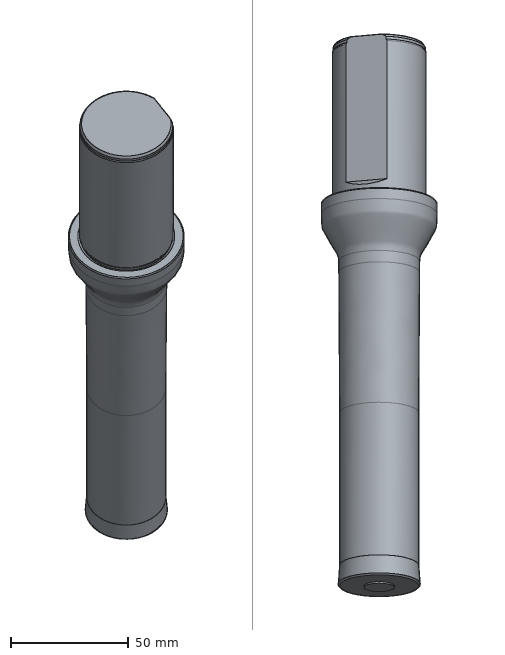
import cadquery as cq
import math

TOTAL_HEIGHT = 240.0
TIP_TOP = 9.5
TAPER_BOTTOM = 77.3
NECK_BOTTOM = 139.5
NECK_TOP = 144.5
BULB_TOP = 165.4
COLLAR_TOP = 170.5
UNDERCUT_TOP = 171.5

SHANK_DIAMETER = 40.0
UNDERCUT_DIAMETER = 39.0
FOOT_RECESS_DIAMETER = 41.3
COLLAR_DIAMETER = 49.5
NECK_DIAMETER = 34.5
SHAFT_DIAMETER = 33.8
TIP_DIAMETER = 35.0
BOSS_DIAMETER = 13.0

BULB_RADIUS = 22.8
COLLAR_CHAMFER = 0.5
FOOT_RECESS_DEPTH = 0.5
END_CHAMFER_WIDTH = 0.7
END_CHAMFER_HEIGHT = 1.2
END_BAND_DIAMETER = 39.5
END_BAND_DROP = 2.5
END_LAND_DROP = 3.0
FLAT_OFFSET = 17.8
FLAT_BOTTOM = 175.7
TIP_CHAMFER = 0.7
BOSS_HEIGHT = 0.7

shank_radius = SHANK_DIAMETER / 2
undercut_radius = UNDERCUT_DIAMETER / 2
foot_recess_radius = FOOT_RECESS_DIAMETER / 2
collar_radius = COLLAR_DIAMETER / 2
neck_radius = NECK_DIAMETER / 2
shaft_radius = SHAFT_DIAMETER / 2
tip_radius = TIP_DIAMETER / 2
end_band_radius = END_BAND_DIAMETER / 2

bulb_run = collar_radius - neck_radius
bulb_drop = BULB_TOP - NECK_TOP
turn_angle = 2 * math.atan2(bulb_run, bulb_drop)
throat_radius = bulb_drop / math.sin(turn_angle) - BULB_RADIUS


def bulb_point(angle):
    """Point (radius, height) on the convex bulb, at an angle below its top."""
    return (
        collar_radius - BULB_RADIUS * (1 - math.cos(angle)),
        BULB_TOP - BULB_RADIUS * math.sin(angle),
    )


def throat_point(angle):
    """Point (radius, height) on the concave throat, at an angle above the neck."""
    return (
        neck_radius + throat_radius * (1 - math.cos(angle)),
        NECK_TOP + throat_radius * math.sin(angle),
    )


def bulb_curve_points():
    """Points of the S-curve after the neck, up to the bulb top."""
    return [
        throat_point(turn_angle / 2),
        throat_point(turn_angle),
        bulb_point(turn_angle / 2),
        bulb_point(0),
    ]


def make_shank_flat():
    """Material removed for the flat on the +Y side, with a 45 degree run-out at its lower end."""
    depth = collar_radius - FLAT_OFFSET
    return (
        cq.Workplane("YZ")
        .moveTo(FLAT_OFFSET, TOTAL_HEIGHT)
        .lineTo(FLAT_OFFSET, FLAT_BOTTOM)
        .lineTo(FLAT_OFFSET + depth, FLAT_BOTTOM - depth)
        .lineTo(FLAT_OFFSET + depth, TOTAL_HEIGHT)
        .close()
        .extrude(shank_radius, both=True)
        .intersect(
            cq.Workplane("XY")
            .workplane(offset=UNDERCUT_TOP)
            .rect(COLLAR_DIAMETER, COLLAR_DIAMETER)
            .extrude(TOTAL_HEIGHT - UNDERCUT_TOP)
        )
    )


def make_holder():
    """Turned holder: shaft, tapered neck, bulb with collar, and flatted shank."""
    turned = (
        cq.Workplane("XZ")
        .moveTo(0, TIP_TOP)
        .lineTo(shaft_radius, TIP_TOP)
        .lineTo(shaft_radius, TAPER_BOTTOM)
        .lineTo(neck_radius, NECK_BOTTOM)
        .lineTo(neck_radius, NECK_TOP)
        .spline(bulb_curve_points(), tangents=[(0, 1), (0, 1)], includeCurrent=True)
        .lineTo(collar_radius, COLLAR_TOP - COLLAR_CHAMFER)
        .lineTo(collar_radius - COLLAR_CHAMFER, COLLAR_TOP)
        .lineTo(foot_recess_radius, COLLAR_TOP)
        .lineTo(undercut_radius, COLLAR_TOP - FOOT_RECESS_DEPTH)
        .lineTo(undercut_radius, UNDERCUT_TOP)
        .lineTo(shank_radius, UNDERCUT_TOP)
        .lineTo(shank_radius, TOTAL_HEIGHT - END_LAND_DROP)
        .lineTo(end_band_radius, TOTAL_HEIGHT - END_BAND_DROP)
        .lineTo(end_band_radius, TOTAL_HEIGHT - END_CHAMFER_HEIGHT)
        .lineTo(end_band_radius - END_CHAMFER_WIDTH, TOTAL_HEIGHT)
        .lineTo(0, TOTAL_HEIGHT)
        .close()
        .revolve(360, (0, 0, 0), (0, 1, 0))
    )
    return turned.cut(make_shank_flat())


def make_tip():
    """Slightly flared tip with a chamfered rim and a small central boss underneath."""
    boss_radius = BOSS_DIAMETER / 2
    rim_top = BOSS_HEIGHT + TIP_CHAMFER
    return (
        cq.Workplane("XZ")
        .lineTo(boss_radius, 0)
        .lineTo(boss_radius, BOSS_HEIGHT)
        .lineTo(tip_radius - TIP_CHAMFER, BOSS_HEIGHT)
        .lineTo(tip_radius, rim_top)
        .lineTo(shaft_radius, TIP_TOP)
        .lineTo(0, TIP_TOP)
        .close()
        .revolve(360, (0, 0, 0), (0, 1, 0))
    )


holder = make_holder()
tip = make_tip()
result = cq.Compound.makeCompound([holder.val(), tip.val()])